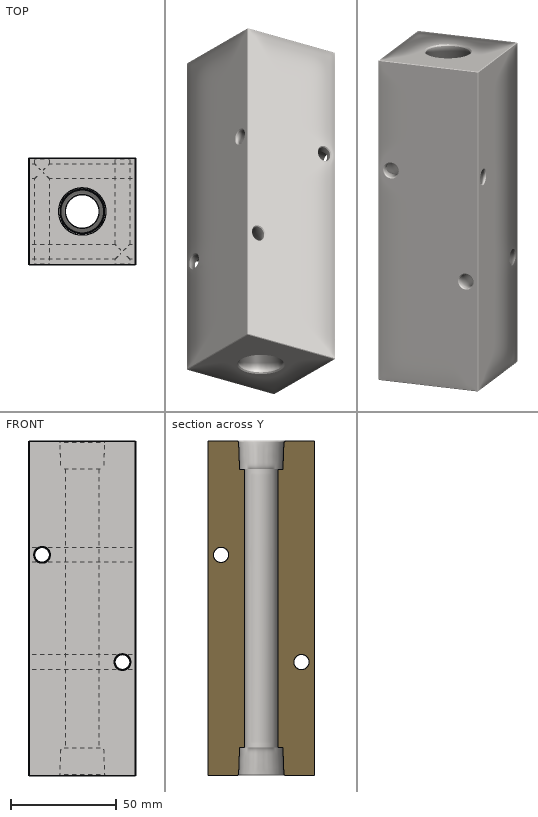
import cadquery as cq

side = 50.8
height = 158.8
edge_break = 0.3

bore_diameter = 15.9
port_mouth_diameter = 22.5
port_rim_diameter = 21.3
port_floor_diameter = 20.3
port_depth = 13.3

cross_diameter = 7.0
cross_mouth_diameter = 8.0
cross_offset = 19.0
cross_rise = 25.4


def revolved_cutter(half_profile):
    """Solid of revolution about Z from (radius, z) points, closed along the axis."""
    bottom = half_profile[0][1]
    top = half_profile[-1][1]
    outline = [(0, bottom)] + half_profile + [(0, top)]
    return cq.Workplane("XZ").polyline(outline).close().revolve(360, (0, 0, 0), (0, 1, 0))


def end_port():
    """Port entering from the top face: a 45 degree mouth, then a slight taper to the floor."""
    mouth_radius = port_mouth_diameter / 2
    rim_radius = port_rim_diameter / 2
    floor_radius = port_floor_diameter / 2
    top = height / 2
    rim = top - (mouth_radius - rim_radius)
    return revolved_cutter([(floor_radius, top - port_depth), (rim_radius, rim), (mouth_radius, top)])


def cross_hole():
    """Hole along Z through the width of the block, countersunk at 45 degrees at both ends."""
    radius = cross_diameter / 2
    mouth_radius = cross_mouth_diameter / 2
    face = side / 2
    flare_end = face - (mouth_radius - radius)
    return revolved_cutter(
        [(mouth_radius, -face), (radius, -flare_end), (radius, flare_end), (mouth_radius, face)]
    )


block = cq.Workplane("XY").box(side, side, height).edges().chamfer(edge_break)

bore = cq.Workplane("XY").circle(bore_diameter / 2).extrude(height / 2, both=True)
top_port = end_port()
bottom_port = top_port.mirror("XY")
result = block.cut(bore).cut(top_port).cut(bottom_port)

along_x = cross_hole().rotate((0, 0, 0), (0, 1, 0), 90)
along_y = cross_hole().rotate((0, 0, 0), (1, 0, 0), 90)
for end in (-1, 1):
    offset = end * cross_offset
    rise = end * cross_rise
    result = result.cut(along_x.translate((0, offset, rise)))
    result = result.cut(along_y.translate((-offset, 0, rise)))